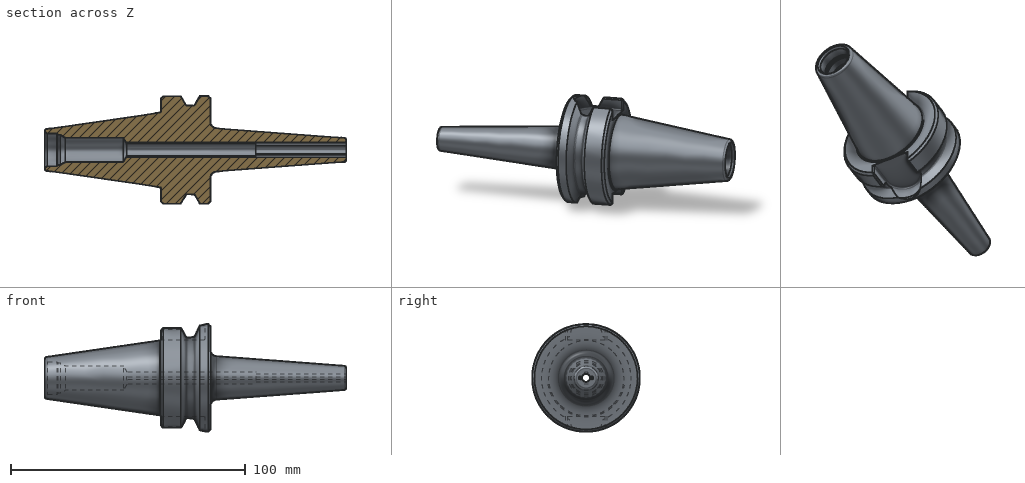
import cadquery as cq
import math

LENGTH = 128.4
GAUGE_PLANE = 48.4
FLANGE_FACE = 49.4
FLANGE_BACK = 70.6

GAUGE_RADIUS = 15.9
TAPER_SLOPE = 7 / 24 / 2
SHANK_END_FILLET = 1.0
SHANK_ROOT_FILLET = 0.5

FLANGE_RADIUS = 23.0
RIM_CHAMFER = 1.0
GROOVE_CENTRE = 62.0
GROOVE_FLOOR_WIDTH = 3.5
GROOVE_FLOOR_RADIUS = 19.0
GROOVE_HALF_ANGLE = math.radians(30)
GROOVE_FILLET = 0.5

NOSE_ROOT_RADIUS = 9.5
NOSE_TIP_RADIUS = 5.1
NOSE_ROOT_FILLET = 2.6
NOSE_TIP_FILLET = 1.0

KEY_HALF_WIDTH = 8.1
KEY_FLOOR_HEIGHT = 16.3
KEY_END = 68.2
KEY_CHAMFER = 0.6
KEY_FLOOR_FILLET = 0.6

BORE_HALF_ANGLE = math.radians(30)
MOUTH_RADIUS = 7.6
COUNTERBORE_RADIUS = 6.9
COUNTERBORE_DEPTH = 5.1
PILOT_RADIUS = 6.4
PILOT_LENGTH = 0.9
THREAD_RADIUS = 5.1
THREAD_END = 33.4
DRILL_POINT_HALF_ANGLE = math.radians(59)

FEED_RADIUS = 2.6
FEED_END = 89.9
TOOL_RADIUS = 1.7
JET_RADIUS = 0.5
JET_OFFSET = 2.6


def circle_at(x, radius):
    """Selector for the circular edge of this radius, centred on the X axis."""
    margin = 0.01
    reach = radius + margin
    return cq.selectors.BoxSelector((x - margin, -reach, -reach), (x + margin, reach, reach), boundingbox=True)


def revolve_about_x(outline):
    """Solid of revolution of a closed (x, radius) outline."""
    return cq.Workplane("XZ").polyline(outline).close().revolve(360, (0, 0, 0), (1, 0, 0))


def build_body():
    """Turned shank, grooved flange and nose, with the rounded edges."""
    shank_end_radius = GAUGE_RADIUS - GAUGE_PLANE * TAPER_SLOPE
    shank_root_radius = shank_end_radius + FLANGE_FACE * TAPER_SLOPE
    groove_depth = FLANGE_RADIUS - GROOVE_FLOOR_RADIUS
    floor_start = GROOVE_CENTRE - GROOVE_FLOOR_WIDTH / 2
    floor_end = GROOVE_CENTRE + GROOVE_FLOOR_WIDTH / 2
    flank_length = groove_depth * math.tan(GROOVE_HALF_ANGLE)
    body = revolve_about_x([
        (0, 0),
        (0, shank_end_radius),
        (FLANGE_FACE, shank_root_radius),
        (FLANGE_FACE, FLANGE_RADIUS - RIM_CHAMFER),
        (FLANGE_FACE + RIM_CHAMFER, FLANGE_RADIUS),
        (floor_start - flank_length, FLANGE_RADIUS),
        (floor_start, GROOVE_FLOOR_RADIUS),
        (floor_end, GROOVE_FLOOR_RADIUS),
        (floor_end + flank_length, FLANGE_RADIUS),
        (FLANGE_BACK - RIM_CHAMFER, FLANGE_RADIUS),
        (FLANGE_BACK, FLANGE_RADIUS - RIM_CHAMFER),
        (FLANGE_BACK, NOSE_ROOT_RADIUS),
        (LENGTH, NOSE_TIP_RADIUS),
        (LENGTH, 0),
    ])
    rounded_edges = [
        (0, shank_end_radius, SHANK_END_FILLET),
        (FLANGE_FACE, shank_root_radius, SHANK_ROOT_FILLET),
        (floor_start, GROOVE_FLOOR_RADIUS, GROOVE_FILLET),
        (floor_end, GROOVE_FLOOR_RADIUS, GROOVE_FILLET),
        (FLANGE_BACK, NOSE_ROOT_RADIUS, NOSE_ROOT_FILLET),
        (LENGTH, NOSE_TIP_RADIUS, NOSE_TIP_FILLET),
    ]
    for x, radius, fillet in rounded_edges:
        body = body.edges(circle_at(x, radius)).fillet(fillet)
    return body


def build_keyway():
    """Cutter for the +Z keyway: round-ended slot with a filleted floor and chamfered outer edges."""
    key_depth = FLANGE_RADIUS - KEY_FLOOR_HEIGHT
    arc_centre = KEY_END - KEY_HALF_WIDTH
    flared_half_width = KEY_HALF_WIDTH + KEY_CHAMFER
    floor_plane = cq.Workplane("XY", origin=(0, 0, KEY_FLOOR_HEIGHT))
    slot = (
        floor_plane.moveTo(FLANGE_FACE, -KEY_HALF_WIDTH)
        .lineTo(arc_centre, -KEY_HALF_WIDTH)
        .threePointArc((KEY_END, 0), (arc_centre, KEY_HALF_WIDTH))
        .lineTo(FLANGE_FACE, KEY_HALF_WIDTH)
        .close()
        .extrude(key_depth)
        .faces("<Z")
        .edges("not <X")
        .fillet(KEY_FLOOR_FILLET)
    )
    entry_flare = (
        floor_plane.polyline([
            (FLANGE_FACE, -flared_half_width),
            (FLANGE_FACE + KEY_CHAMFER, -KEY_HALF_WIDTH),
            (FLANGE_FACE + KEY_CHAMFER, KEY_HALF_WIDTH),
            (FLANGE_FACE, flared_half_width),
        ])
        .close()
        .extrude(key_depth)
    )
    rim_height = math.sqrt(FLANGE_RADIUS**2 - flared_half_width**2)
    wall_flare = (
        cq.Workplane("YZ", origin=(FLANGE_FACE, 0, 0))
        .polyline([
            (-KEY_HALF_WIDTH, rim_height - KEY_CHAMFER),
            (KEY_HALF_WIDTH, rim_height - KEY_CHAMFER),
            (flared_half_width, rim_height),
            (flared_half_width, FLANGE_RADIUS),
            (-flared_half_width, FLANGE_RADIUS),
            (-flared_half_width, rim_height),
        ])
        .close()
        .extrude(GROOVE_CENTRE - FLANGE_FACE)
    )
    end_flare = cq.Solid.makeCone(
        KEY_HALF_WIDTH,
        flared_half_width,
        KEY_CHAMFER,
        pnt=cq.Vector(arc_centre, 0, FLANGE_RADIUS - KEY_CHAMFER),
        dir=cq.Vector(0, 0, 1),
    )
    return slot.union(entry_flare).union(wall_flare).union(cq.Workplane(end_flare))


def build_bore():
    """Cutter for the stepped pull-stud bore running on into the feed and tool bores."""
    mouth_depth = (MOUTH_RADIUS - COUNTERBORE_RADIUS) / math.tan(BORE_HALF_ANGLE)
    pilot_start = COUNTERBORE_DEPTH + (COUNTERBORE_RADIUS - PILOT_RADIUS)
    pilot_end = pilot_start + PILOT_LENGTH
    thread_start = pilot_end + (PILOT_RADIUS - THREAD_RADIUS) / math.tan(BORE_HALF_ANGLE)
    feed_start = THREAD_END + (THREAD_RADIUS - FEED_RADIUS) / math.tan(DRILL_POINT_HALF_ANGLE)
    return revolve_about_x([
        (0, 0),
        (0, MOUTH_RADIUS),
        (mouth_depth, COUNTERBORE_RADIUS),
        (COUNTERBORE_DEPTH, COUNTERBORE_RADIUS),
        (pilot_start, PILOT_RADIUS),
        (pilot_end, PILOT_RADIUS),
        (thread_start, THREAD_RADIUS),
        (THREAD_END, THREAD_RADIUS),
        (feed_start, FEED_RADIUS),
        (FEED_END, FEED_RADIUS),
        (FEED_END, TOOL_RADIUS),
        (LENGTH, TOOL_RADIUS),
        (LENGTH, 0),
    ])


def build_jets():
    """Cutter for the two coolant holes on +Y and -Y, from the thread end to the nose tip."""
    return (
        cq.Workplane("YZ", origin=(THREAD_END, 0, 0))
        .pushPoints([(-JET_OFFSET, 0), (JET_OFFSET, 0)])
        .circle(JET_RADIUS)
        .extrude(LENGTH - THREAD_END)
    )


keyway = build_keyway()
result = (
    build_body()
    .cut(keyway)
    .cut(keyway.mirror("XY"))
    .cut(build_bore())
    .cut(build_jets())
)